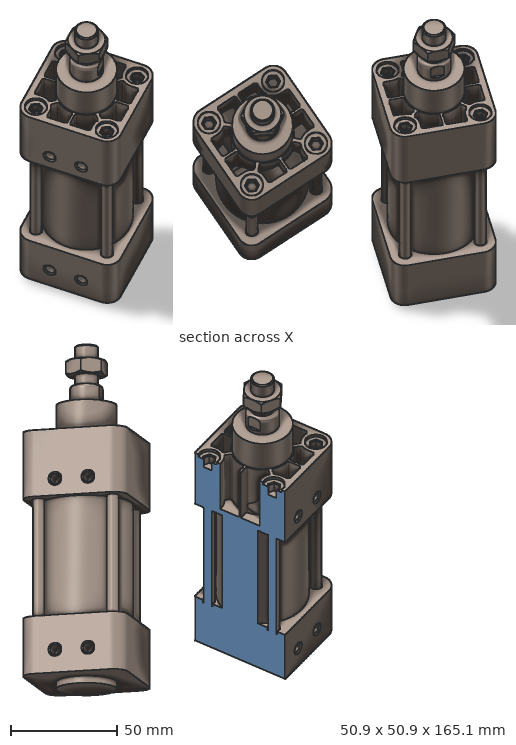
import cadquery as cq
import math

TOTAL_HEIGHT = 165.1
END_CAP_BOTTOM = 3.3
END_CAP_TOP = 31.0
HEAD_CAP_BOTTOM = 88.7
HEAD_CAP_TOP = 120.7
COLLAR_TOP = 136.5

CAP_SIDE = 50.9
CAP_CORNER_RADIUS = 7.0
SPIGOT_DIAMETER = 28.5
BARREL_DIAMETER = 43.9

TIE_ROD_OFFSET = 18.2
TIE_ROD_DIAMETER = 5.5
TIE_ROD_HOLE_DIAMETER = 6.0
TIE_ROD_HOLE_DEPTH = 1.7
SCREW_BORE_DIAMETER = 10.5
SCREW_HEAD_RECESS = 1.5
SOCKET_MOUTH_FLATS = 6.0
SOCKET_FLATS = 5.0
SOCKET_CHAMFER_HEIGHT = 0.5
SOCKET_DEPTH = 5.0

PORT_X = 8.1
PORT_DIAMETER = 5.0
PORT_MOUTH_DIAMETER = 6.5
PORT_DEPTH = 8.3
PORT_POINT_ANGLE = 118.0
END_CAP_PORT_Z = 14.4
HEAD_CAP_PORT_Z = HEAD_CAP_BOTTOM + 8.1

POCKET_OUTER = 22.1
POCKET_HUB_RADIUS = 14.9
POCKET_FLOOR = 92.5
POCKET_FILLET = 1.2
SCREW_BOSS_RADIUS = 7.1
CROSS_WEB_HALF = 0.7
DIAGONAL_WEB_TO_SIDE_POCKET = 0.3
DIAGONAL_WEB_TO_END_POCKET = 1.5

MOUNT_BOSS_DIAMETER = 13.7
AIR_BOSS_DIAMETER = 24.8
AIR_BOSS_INNER_Y = 12.2
CUSHION_BOSS_DIAMETER = 12.7
CUSHION_BOSS_Y = 9.5

ROD_DIAMETER = 15.8
ROD_BOTTOM = HEAD_CAP_BOTTOM
SHOULDER_Z = 146.1
THREAD_DIAMETER = 11.0
TIP_DIAMETER = 9.7
TIP_CHAMFER_HEIGHT = 0.7
WRENCH_FLATS = 14.4
WRENCH_FLAT_BOTTOM = 139.0
WRENCH_RUNOUT_HEIGHT = 0.7

NUT_FLATS = 17.5
NUT_BOTTOM = 150.9
NUT_HEIGHT = 7.1
NUT_FACE_DIAMETER = 17.5
NUT_CHAMFER_ANGLE = 30.0


def cylinder(diameter, bottom, top):
    return cq.Workplane("XY", origin=(0, 0, bottom)).circle(diameter / 2).extrude(top - bottom)


def hexagon_prism(across_flats, bottom, height, taper=0.0):
    """Hexagonal prism with its flats facing +X and -X."""
    return (
        cq.Workplane("XY", origin=(0, 0, bottom))
        .transformed(rotate=(0, 0, 90))
        .polygon(6, across_flats / math.cos(math.pi / 6))
        .extrude(height, taper=taper)
    )


def corner_points():
    return [(sx * TIE_ROD_OFFSET, sy * TIE_ROD_OFFSET) for sx in (-1, 1) for sy in (-1, 1)]


def cap(bottom, top):
    block = cq.Workplane("XY", origin=(0, 0, bottom)).rect(CAP_SIDE, CAP_SIDE).extrude(top - bottom)
    return block.edges("|Z").fillet(CAP_CORNER_RADIUS)


def pocket_beside_x_axis(web_offset):
    """Pocket between the +X half axis and the diagonal web, web_offset away from the diagonal."""
    def on_diagonal_edge(along):
        return ((along + web_offset) / math.sqrt(2), (along - web_offset) / math.sqrt(2))

    hub_start = (math.sqrt(POCKET_HUB_RADIUS**2 - CROSS_WEB_HALF**2), CROSS_WEB_HALF)
    hub_end = on_diagonal_edge(math.sqrt(POCKET_HUB_RADIUS**2 - web_offset**2))
    start_angle = math.atan2(hub_start[1], hub_start[0])
    end_angle = math.atan2(hub_end[1], hub_end[0])
    hub_angle = (start_angle + end_angle) / 2
    hub_middle = (POCKET_HUB_RADIUS * math.cos(hub_angle), POCKET_HUB_RADIUS * math.sin(hub_angle))

    boss_reach = math.sqrt(SCREW_BOSS_RADIUS**2 - web_offset**2)
    boss_end = on_diagonal_edge(TIE_ROD_OFFSET * math.sqrt(2) - boss_reach)
    boss_low_y = TIE_ROD_OFFSET - SCREW_BOSS_RADIUS

    prism = (
        cq.Workplane("XY", origin=(0, 0, POCKET_FLOOR))
        .moveTo(*hub_start)
        .lineTo(POCKET_OUTER, CROSS_WEB_HALF)
        .lineTo(POCKET_OUTER, boss_low_y)
        .lineTo(TIE_ROD_OFFSET, boss_low_y)
        .tangentArcPoint(boss_end, relative=False)
        .lineTo(*hub_end)
        .threePointArc(hub_middle, hub_start)
        .close()
        .extrude(HEAD_CAP_TOP - POCKET_FLOOR)
    )
    return prism.edges("|Z").fillet(POCKET_FILLET)


def horizontal_boss(plane, x, y, diameter):
    """Boss at the height of the mounting holes, running along the plane normal from (x, y)."""
    origin = (x, y, HEAD_CAP_PORT_Z)
    return cq.Workplane(plane, origin=origin).circle(diameter / 2).extrude(CAP_SIDE / 2)


def head_cap_pockets():
    """Eight mirrored pockets, less the bosses left standing inside them."""
    side_pocket = pocket_beside_x_axis(DIAGONAL_WEB_TO_SIDE_POCKET)
    end_pocket = (
        pocket_beside_x_axis(DIAGONAL_WEB_TO_END_POCKET)
        .mirror("XZ")
        .rotate((0, 0, 0), (0, 0, 1), 90)
    )
    quarter = side_pocket.union(end_pocket)
    half = quarter.union(quarter.mirror("YZ"))
    pockets = half.union(half.mirror("XZ"))

    for x in (-PORT_X, PORT_X):
        pockets = pockets.cut(horizontal_boss("XZ", x, 0, MOUNT_BOSS_DIAMETER))
    pockets = pockets.cut(horizontal_boss("XZ", 0, AIR_BOSS_INNER_Y + CAP_SIDE / 2, AIR_BOSS_DIAMETER))
    return pockets.cut(horizontal_boss("YZ", 0, CUSHION_BOSS_Y, CUSHION_BOSS_DIAMETER))


def mounting_hole(x, z):
    """Blind hole with a countersunk mouth and a drill point, bored along +Y."""
    radius = PORT_DIAMETER / 2
    mouth = PORT_MOUTH_DIAMETER / 2
    point = radius / math.tan(math.radians(PORT_POINT_ANGLE / 2))
    profile = [
        (0, 0),
        (mouth, 0),
        (radius, mouth - radius),
        (radius, PORT_DEPTH),
        (0, PORT_DEPTH + point),
    ]
    hole = cq.Workplane("XY").polyline(profile).close().revolve(360, (0, 0, 0), (0, 1, 0))
    return hole.translate((x, -CAP_SIDE / 2, z))


def screw_recess(x, y):
    """Bore above a screw head, with the chamfered hexagon socket in the head."""
    head_top = HEAD_CAP_TOP - SCREW_HEAD_RECESS
    bore = cylinder(SCREW_BORE_DIAMETER, head_top, HEAD_CAP_TOP)
    chamfer_bottom = head_top - SOCKET_CHAMFER_HEIGHT
    chamfer_slope = (SOCKET_MOUTH_FLATS - SOCKET_FLATS) / 2 / SOCKET_CHAMFER_HEIGHT
    chamfer_taper = -math.degrees(math.atan(chamfer_slope))
    socket = hexagon_prism(SOCKET_FLATS, head_top - SOCKET_DEPTH, SOCKET_DEPTH)
    chamfer = hexagon_prism(SOCKET_FLATS, chamfer_bottom, SOCKET_CHAMFER_HEIGHT, chamfer_taper)
    return bore.union(socket).union(chamfer).translate((x, y, 0))


def make_housing():
    """Both caps, the barrel and the tie rods as one body, bored for the piston rod."""
    body = cap(END_CAP_BOTTOM, END_CAP_TOP).union(cap(HEAD_CAP_BOTTOM, HEAD_CAP_TOP))
    body = body.cut(head_cap_pockets())
    body = body.union(cylinder(BARREL_DIAMETER, END_CAP_TOP, HEAD_CAP_BOTTOM))
    body = body.union(cylinder(SPIGOT_DIAMETER, 0, END_CAP_BOTTOM))
    body = body.union(cylinder(SPIGOT_DIAMETER, HEAD_CAP_TOP, COLLAR_TOP))
    hole_floor = END_CAP_TOP - TIE_ROD_HOLE_DEPTH
    for x, y in corner_points():
        body = body.cut(cylinder(TIE_ROD_HOLE_DIAMETER, hole_floor, END_CAP_TOP).translate((x, y, 0)))
        body = body.union(cylinder(TIE_ROD_DIAMETER, hole_floor, HEAD_CAP_BOTTOM).translate((x, y, 0)))
        body = body.cut(screw_recess(x, y))
    for x in (-PORT_X, PORT_X):
        for z in (END_CAP_PORT_Z, HEAD_CAP_PORT_Z):
            body = body.cut(mounting_hole(x, z))
    return body.cut(cylinder(ROD_DIAMETER, ROD_BOTTOM, COLLAR_TOP))


def make_rod():
    rod_radius = ROD_DIAMETER / 2
    thread_radius = THREAD_DIAMETER / 2
    shoulder_radius = rod_radius - thread_radius
    rod = (
        cq.Workplane("XZ")
        .moveTo(0, ROD_BOTTOM)
        .lineTo(rod_radius, ROD_BOTTOM)
        .lineTo(rod_radius, SHOULDER_Z - shoulder_radius)
        .tangentArcPoint((thread_radius, SHOULDER_Z), relative=False)
        .lineTo(thread_radius, TOTAL_HEIGHT - TIP_CHAMFER_HEIGHT)
        .lineTo(TIP_DIAMETER / 2, TOTAL_HEIGHT)
        .lineTo(0, TOTAL_HEIGHT)
        .close()
        .revolve(360, (0, 0, 0), (0, 1, 0))
    )
    for side in (-1, 1):
        rod = rod.cut(wrench_flat(side))
    return rod


def wrench_flat(side):
    """Cutter for one flat of the rod, with a sloping run-out at its lower end."""
    flat_x = side * WRENCH_FLATS / 2
    edge_x = side * ROD_DIAMETER / 2
    profile = [
        (flat_x, SHOULDER_Z),
        (flat_x, WRENCH_FLAT_BOTTOM),
        (edge_x, WRENCH_FLAT_BOTTOM - WRENCH_RUNOUT_HEIGHT),
        (edge_x, SHOULDER_Z),
    ]
    return cq.Workplane("XZ").polyline(profile).close().extrude(ROD_DIAMETER / 2, both=True)


def make_nut():
    corner_radius = NUT_FLATS / 2 / math.cos(math.pi / 6)
    face_radius = NUT_FACE_DIAMETER / 2
    drop = (corner_radius - face_radius) * math.tan(math.radians(NUT_CHAMFER_ANGLE))
    profile = [
        (0, 0),
        (face_radius, 0),
        (corner_radius, drop),
        (corner_radius, NUT_HEIGHT - drop),
        (face_radius, NUT_HEIGHT),
        (0, NUT_HEIGHT),
    ]
    envelope = cq.Workplane("XZ").polyline(profile).close().revolve(360, (0, 0, 0), (0, 1, 0))
    nut = hexagon_prism(NUT_FLATS, NUT_BOTTOM, NUT_HEIGHT).intersect(envelope.translate((0, 0, NUT_BOTTOM)))
    return nut.cut(cylinder(THREAD_DIAMETER, NUT_BOTTOM, NUT_BOTTOM + NUT_HEIGHT))


housing = make_housing()
rod = make_rod()
nut = make_nut()

result = cq.Compound.makeCompound([housing.val(), rod.val(), nut.val()])